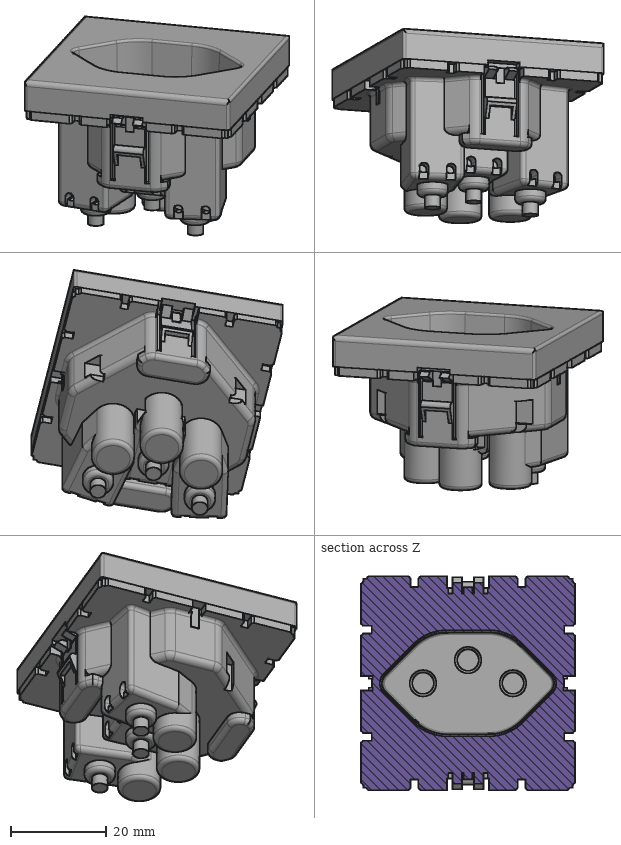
import cadquery as cq
import math


PLATE_SIZE = 45.05
PLATE_BOTTOM = -6.65
PLATE_EDGE_RADIUS = 1.13
PLATE_SIDE_RADIUS = 0.65

WELL_TIP = 19.33
WELL_HALF_HEIGHT = 10.9
WELL_SHOULDER_RADIUS = 9.75
WELL_TIP_RADIUS = 2.35
WELL_DEPTH = 12.3
WELL_DRAFT = 1.7
WELL_RIM_RADIUS = 0.55
WELL_FLOOR_RADIUS = 0.23
WELL_WALL = 0.55
WELL_FLOOR = 0.9
CUP_BOTTOM = -WELL_DEPTH - WELL_FLOOR

PIN_HOLE_RADIUS = 2.25
PIN_HOLE_CHAMFER = 0.55

FLANGE_BOTTOM = -8.55
NOTCH_CENTRE = 11.25
NOTCH_WIDTH = 1.58
NOTCH_DEPTH = 2.25
CORNER_NOTCH = 1.13
NOTCH_CHAMFER = 0.5

SKIRT_HALF = 20.1
SKIRT_CORNER = 5.7
SKIRT_CORNER_RADIUS = 2.9
SKIRT_BOTTOM = -20.8
SKIRT_BOTTOM_RADIUS = 1.55
NECK_RADIUS = 0.8
NECK_BOTTOM = FLANGE_BOTTOM - NECK_RADIUS
NOSE_HALF_WIDTH = 7.75
NOSE_LENGTH = 6.13
NOSE_BOTTOM = -23.15
NOSE_RADIUS = 1.1
SKIRT_STRAIGHT_END = SKIRT_CORNER + SKIRT_CORNER_RADIUS * math.tan(math.pi / 8) * math.cos(math.pi / 4)

CHANNEL_Y = (8.55, 10.15)
CHANNEL_Z = (-19.0, -13.88)
SIDE_NOTCH_Y = (9.6, 11.25)
SIDE_NOTCH_X = 13.5
SLOT_Y = (4.05, 7.05)
SLOT_Z = (-25.7, SKIRT_BOTTOM)

RIB_WIDTH = 1.8
RIB_DEPTH = 0.15
SIDE_RIB_BOTTOM = -11.85
SIDE_RIB_NOTCH = 2.97
LATCH_RIB_BOTTOM = -9.9

LATCH_GAP_HALF = 4.35
TONGUE_HALF = 3.3
SLIT_OUTER = 4.15
SLIT_BOTTOM = -21.1
LATCH_DEPTH = 1.15
TONGUE_TOP = -9.0
COVER_NOTCH_HALF = 3.55
COVER_NOTCH_TOP = -5.68
TOOTH_INNER = 1.25
TOOTH_REACH = 2.25
TOOTH_TOP_REACH = 1.13
TOOTH_TIP_Z = -7.55
HOOK_REACH = 1.3
HOOK_TOP = -13.1
HOOK_TIP_Z = -14.3
HOOK_BOTTOM = -17.6
HOOK_NOSE_RADIUS = 1.0
HOOK_POCKET_HALF = 2.52
HOOK_POCKET_TOP = -15.0

BARREL_RADIUS = 4.5
BARREL_BOTTOM = -34.37
BARREL_EDGE_RADIUS = 1.0
BORE_BOTTOM = -32.45
SIDE_SPACING = 9.45
CENTRE_Y = 4.85
SIDE_TILT = 10.0
SIDE_HALF_WIDTH = 5.8
CENTRE_HALF_WIDTH = 5.35
SIDE_BLOCK_BOTTOM = -30.27
CENTRE_BLOCK_BOTTOM = -27.3
BLOCK_FRONT = 15.1
BLOCK_FLANK_ANGLE = 20.0
SIDE_CORNER_RADIUS = 0.9
CENTRE_CORNER_RADIUS = 0.45
BLOCK_BOTTOM_RADIUS = 1.25
COLLAR_DISTANCE = 8.5
COLLAR_RADIUS = 3.25
COLLAR_HEIGHT = 2.4
COLLAR_EDGE_RADIUS = 1.05
SCREW_RADIUS = 1.65
SCREW_LENGTH_BELOW_BLOCK = 4.9
WIRE_SPACING = 5.8
WIRE_WIDTH = 1.95
WIRE_HEIGHT = 3.4
WIRE_STEP = 1.6
WIRE_DEPTH = 2.7
WIRE_STEP_DEPTH = 0.9

TOLERANCE = 0.05

UNITS = (
    (-SIDE_SPACING, 0.0, -SIDE_TILT, SIDE_HALF_WIDTH, SIDE_CORNER_RADIUS, SIDE_BLOCK_BOTTOM),
    (0.0, CENTRE_Y, 0.0, CENTRE_HALF_WIDTH, CENTRE_CORNER_RADIUS, CENTRE_BLOCK_BOTTOM),
    (SIDE_SPACING, 0.0, SIDE_TILT, SIDE_HALF_WIDTH, SIDE_CORNER_RADIUS, SIDE_BLOCK_BOTTOM),
)


def block_between(x_span, y_span, z_span):
    """A box given by its limits along each axis."""
    return (
        cq.Workplane("XY")
        .box(x_span[1] - x_span[0], y_span[1] - y_span[0], z_span[1] - z_span[0], centered=False)
        .translate((x_span[0], y_span[0], z_span[0]))
    )


def rod(x, y, radius, bottom, top):
    """An upright cylinder."""
    return cq.Workplane("XY", origin=(x, y, bottom)).circle(radius).extrude(top - bottom)


def well_shape(offset, depth):
    """The tapered hexagonal well, enlarged by an offset and running down from Z = 0."""
    tip = WELL_TIP + offset * math.sqrt(2)
    half_height = WELL_HALF_HEIGHT + offset
    shoulder = tip - half_height
    outline = [
        (tip, 0),
        (shoulder, half_height),
        (-shoulder, half_height),
        (-tip, 0),
        (-shoulder, -half_height),
        (shoulder, -half_height),
    ]
    well = cq.Workplane("XY").polyline(outline).close().extrude(-depth, taper=WELL_DRAFT)
    well = well.edges("not #Z").edges("not (<X or >X)").fillet(WELL_SHOULDER_RADIUS + offset)
    return well.edges("not #Z").edges("<X or >X").fillet(WELL_TIP_RADIUS + offset)


def both_latch_sides(shape):
    """A shape on the -Y side together with its copy turned to the +Y side."""
    return shape.union(shape.rotate((0, 0, 0), (0, 0, 1), 180))


def make_plate():
    half = PLATE_SIZE / 2
    blank = block_between((-half, half), (-half, half), (PLATE_BOTTOM, 0))
    plate = blank.edges("|Z").fillet(PLATE_SIDE_RADIUS)
    plate = plate.intersect(blank.edges(">Z and |X").fillet(PLATE_EDGE_RADIUS))
    return plate.intersect(blank.edges(">Z and |Y").fillet(PLATE_SIDE_RADIUS))


def make_cup():
    """The outside of the well where it stands below the plate."""
    half = PLATE_SIZE / 2
    return well_shape(WELL_WALL, -CUP_BOTTOM).intersect(
        block_between((-half, half), (-half, half), (CUP_BOTTOM, PLATE_BOTTOM))
    )


def make_cover():
    half = PLATE_SIZE / 2
    well = well_shape(0, WELL_DEPTH).faces("<Z").edges().fillet(WELL_FLOOR_RADIUS)
    cover = make_plate().union(make_cup()).cut(well)
    reach = WELL_TIP + TOLERANCE
    rim = cq.selectors.BoxSelector((-reach, -reach, -TOLERANCE), (reach, reach, TOLERANCE))
    cover = cover.edges(rim).fillet(WELL_RIM_RADIUS)

    for x, y, *_ in UNITS:
        countersink = cq.Solid.makeCone(
            PIN_HOLE_RADIUS,
            PIN_HOLE_RADIUS + PIN_HOLE_CHAMFER,
            PIN_HOLE_CHAMFER,
            pnt=cq.Vector(x, y, -WELL_DEPTH - PIN_HOLE_CHAMFER),
        )
        cover = cover.cut(rod(x, y, PIN_HOLE_RADIUS, CUP_BOTTOM, -WELL_DEPTH))
        cover = cover.cut(cq.Workplane(countersink))

    latch_notch = block_between(
        (-COVER_NOTCH_HALF, COVER_NOTCH_HALF), (-half, -SKIRT_HALF), (PLATE_BOTTOM, COVER_NOTCH_TOP)
    )
    return cover.cut(both_latch_sides(latch_notch))


def place(shape, x, y, tilt):
    return shape.rotate((0, 0, 0), (0, 0, 1), tilt).translate((x, y, 0))


def make_barrel():
    barrel = rod(0, 0, BARREL_RADIUS, BARREL_BOTTOM, FLANGE_BOTTOM)
    return barrel.faces("<Z").edges().fillet(BARREL_EDGE_RADIUS)


def make_terminal_block(half_width, corner_radius, bottom):
    flank = math.radians(BLOCK_FLANK_ANGLE)
    touch_x = BARREL_RADIUS * math.cos(flank)
    touch_y = BARREL_RADIUS * math.sin(flank)
    side_y = touch_y - (half_width - touch_x) / math.tan(flank)
    outline = [
        (touch_x, touch_y),
        (half_width, side_y),
        (half_width, -BLOCK_FRONT),
        (-half_width, -BLOCK_FRONT),
        (-half_width, side_y),
        (-touch_x, touch_y),
    ]
    block = (
        cq.Workplane("XY", origin=(0, 0, bottom)).polyline(outline).close().extrude(FLANGE_BOTTOM - bottom)
    )
    block = block.edges("|Z and <Y").fillet(corner_radius)
    block = block.faces("<Z").edges("not >Y").fillet(BLOCK_BOTTOM_RADIUS)
    collar = rod(0, -COLLAR_DISTANCE, COLLAR_RADIUS, bottom - COLLAR_HEIGHT, bottom)
    collar = collar.faces("<Z").edges().fillet(COLLAR_EDGE_RADIUS)
    return block.union(collar).cut(make_wire_entries(bottom))


def make_wire_entries(bottom):
    """Two arched entries at the foot of the block's front face, each with a shallow lower part."""
    arch_centre = bottom + WIRE_HEIGHT - WIRE_WIDTH / 2
    entries = cq.Workplane("XY")
    for x in (-WIRE_SPACING / 2, WIRE_SPACING / 2):
        span = (x - WIRE_WIDTH / 2, x + WIRE_WIDTH / 2)
        deep = (-BLOCK_FRONT, WIRE_DEPTH - BLOCK_FRONT)
        shallow = (-BLOCK_FRONT, WIRE_STEP_DEPTH - BLOCK_FRONT)
        mouth = cq.Workplane("XZ", origin=(x, -BLOCK_FRONT, arch_centre))
        arch = mouth.circle(WIRE_WIDTH / 2).extrude(-WIRE_DEPTH)
        entries = entries.add(arch)
        entries = entries.add(block_between(span, deep, (bottom + WIRE_STEP, arch_centre)))
        entries = entries.add(block_between(span, shallow, (bottom, bottom + WIRE_STEP)))
    return entries.combine()


def screw_at(x, y, tilt, block_bottom):
    """A screw stem seated in the collar up to the bottom of the block."""
    stem = rod(0, -COLLAR_DISTANCE, SCREW_RADIUS, block_bottom - SCREW_LENGTH_BELOW_BLOCK, block_bottom)
    return place(stem, x, y, tilt)


def make_skirt():
    """The octagonal skirt with a deeper nose on the -Y and +Y sides."""
    long, short = SKIRT_HALF, SKIRT_CORNER
    outline = [
        (long, short),
        (short, long),
        (-short, long),
        (-long, short),
        (-long, -short),
        (-short, -long),
        (short, -long),
        (long, -short),
    ]
    column = cq.Workplane("XY").polyline(outline).close().extrude(NOSE_BOTTOM)
    column = column.edges("|Z").fillet(SKIRT_CORNER_RADIUS)

    skirt = column.intersect(block_between((-long, long), (-long, long), (SKIRT_BOTTOM, FLANGE_BOTTOM)))
    skirt = skirt.faces("<Z").edges().fillet(SKIRT_BOTTOM_RADIUS)

    nose_y = (-long, NOSE_LENGTH - long)
    nose = block_between((-NOSE_HALF_WIDTH, NOSE_HALF_WIDTH), nose_y, (NOSE_BOTTOM, SKIRT_BOTTOM))
    nose = nose.edges("|Z and >Y").fillet(SKIRT_CORNER_RADIUS).intersect(column)
    nose = nose.faces("<Z").edges().fillet(NOSE_RADIUS)
    riser = block_between(
        (-SKIRT_STRAIGHT_END, SKIRT_STRAIGHT_END), nose_y, (SKIRT_BOTTOM, SKIRT_BOTTOM + SKIRT_BOTTOM_RADIUS)
    )
    nose = nose.union(riser.intersect(column))
    return skirt.union(both_latch_sides(nose))


def make_flange():
    """A square flange with chamfered notches in its edges and corners."""
    half = PLATE_SIZE / 2
    inner = half - NOTCH_CHAMFER
    left = NOTCH_CENTRE - NOTCH_WIDTH / 2
    right = NOTCH_CENTRE + NOTCH_WIDTH / 2
    edge_notch = [
        (left - NOTCH_CHAMFER, -half),
        (left, -inner),
        (left, NOTCH_DEPTH - half),
        (right, NOTCH_DEPTH - half),
        (right, -inner),
        (right + NOTCH_CHAMFER, -half),
    ]
    side = half - CORNER_NOTCH
    corner_notch = [
        (side - NOTCH_CHAMFER, -half),
        (side, -inner),
        (inner, -inner),
        (inner, -side),
        (half, NOTCH_CHAMFER - side),
        (half, -half),
    ]
    flange = block_between((-half, half), (-half, half), (FLANGE_BOTTOM, PLATE_BOTTOM))
    for outline in (edge_notch, corner_notch):
        notch = cq.Workplane("XY", origin=(0, 0, FLANGE_BOTTOM)).polyline(outline).close()
        notch = notch.extrude(PLATE_BOTTOM - FLANGE_BOTTOM)
        notch = notch.union(notch.mirror("YZ"))
        for turn in (0, 90, 180, 270):
            flange = flange.cut(notch.rotate((0, 0, 0), (0, 0, 1), turn))
    return flange


def add_side_ribs(housing):
    """A thin rib in a flange notch on the -X and +X sides."""
    half = PLATE_SIZE / 2
    outside = (-half, -SKIRT_HALF)
    rib_span = (-RIB_WIDTH / 2, RIB_WIDTH / 2)
    cut = block_between(outside, (-SIDE_RIB_NOTCH / 2, SIDE_RIB_NOTCH / 2), (FLANGE_BOTTOM, PLATE_BOTTOM))
    cut = cut.union(block_between(outside, rib_span, (NECK_BOTTOM, FLANGE_BOTTOM)))
    rib = block_between((-SKIRT_HALF - RIB_DEPTH, -SKIRT_HALF), rib_span, (SIDE_RIB_BOTTOM, PLATE_BOTTOM))
    for turn in (0, 180):
        housing = housing.cut(cut.rotate((0, 0, 0), (0, 0, 1), turn))
        housing = housing.union(rib.rotate((0, 0, 0), (0, 0, 1), turn))
    return housing


def cut_openings(housing):
    """The cross channel, the notches at its ends and the slot through the middle barrel."""
    half = PLATE_SIZE / 2
    housing = housing.cut(block_between((-half, half), CHANNEL_Y, CHANNEL_Z))
    for span in ((-half, -SIDE_NOTCH_X), (SIDE_NOTCH_X, half)):
        housing = housing.cut(block_between(span, SIDE_NOTCH_Y, (SKIRT_BOTTOM, CHANNEL_Z[1])))
    return housing.cut(block_between((-CENTRE_HALF_WIDTH, CENTRE_HALF_WIDTH), SLOT_Y, SLOT_Z))


def prism_along_x(outline, half_length):
    return cq.Workplane("YZ").polyline(outline).close().extrude(half_length, both=True)


def make_latch_cuts():
    half = PLATE_SIZE / 2
    face = -SKIRT_HALF
    floor = face + LATCH_DEPTH
    gap = block_between((-LATCH_GAP_HALF, LATCH_GAP_HALF), (-half, face), (NECK_BOTTOM, PLATE_BOTTOM))
    above_tongue = block_between((-SLIT_OUTER, SLIT_OUTER), (face, floor), (TONGUE_TOP, PLATE_BOTTOM))
    cuts = gap.union(above_tongue)
    for span in ((-SLIT_OUTER, -TONGUE_HALF), (TONGUE_HALF, SLIT_OUTER)):
        cuts = cuts.union(block_between(span, (face, floor), (SLIT_BOTTOM, PLATE_BOTTOM)))
    return cuts


def make_hook():
    """The snap hook on the tongue, hollowed underneath so that a rib is left at either end."""
    face = -SKIRT_HALF
    tip = face - HOOK_REACH
    outline = [(face, HOOK_TOP), (tip, HOOK_TOP), (tip, HOOK_TIP_Z), (face, HOOK_BOTTOM)]
    hook = prism_along_x(outline, TONGUE_HALF)
    hook = hook.edges(cq.selectors.NearestToPointSelector((0, tip, HOOK_TOP))).fillet(HOOK_NOSE_RADIUS)
    pocket = block_between(
        (-HOOK_POCKET_HALF, HOOK_POCKET_HALF), (tip, face), (HOOK_BOTTOM, HOOK_POCKET_TOP)
    )
    return hook.cut(pocket)


def make_latch_additions():
    """The hook, two teeth above the tongue and the rib between them."""
    face = -SKIRT_HALF
    floor = face + LATCH_DEPTH
    tooth_outline = [
        (floor, PLATE_BOTTOM),
        (face - TOOTH_TOP_REACH, PLATE_BOTTOM),
        (face - TOOTH_REACH, TOOTH_TIP_Z),
        (floor, TONGUE_TOP),
    ]
    teeth = prism_along_x(tooth_outline, TONGUE_HALF).cut(
        block_between((-TOOTH_INNER, TOOTH_INNER), (face - TOOTH_REACH, floor), (TONGUE_TOP, PLATE_BOTTOM))
    )
    rib = block_between(
        (-RIB_WIDTH / 2, RIB_WIDTH / 2), (face - RIB_DEPTH, floor), (LATCH_RIB_BOTTOM, PLATE_BOTTOM)
    )
    return make_hook().union(teeth).union(rib)


def make_housing():
    housing = make_skirt()
    for x, y, tilt, half_width, corner_radius, bottom in UNITS:
        housing = housing.union(place(make_terminal_block(half_width, corner_radius, bottom), x, y, tilt))
        housing = housing.union(place(make_barrel(), x, y, tilt))
    housing = housing.union(make_flange())
    neck_edges = cq.selectors.BoxSelector(
        (-SKIRT_HALF - TOLERANCE, -SKIRT_HALF - TOLERANCE, FLANGE_BOTTOM - TOLERANCE),
        (SKIRT_HALF + TOLERANCE, SKIRT_HALF + TOLERANCE, FLANGE_BOTTOM + TOLERANCE),
    )
    housing = housing.edges(neck_edges).fillet(NECK_RADIUS)
    housing = cut_openings(housing)
    housing = add_side_ribs(housing)
    housing = housing.cut(both_latch_sides(make_latch_cuts()))
    housing = housing.union(both_latch_sides(make_latch_additions()))
    housing = housing.cut(make_cup())
    for x, y, *_ in UNITS:
        housing = housing.cut(rod(x, y, PIN_HOLE_RADIUS, BORE_BOTTOM, CUP_BOTTOM))
    for screw in screws:
        housing = housing.cut(screw)
    return housing


screws = [screw_at(x, y, tilt, bottom) for x, y, tilt, *_, bottom in UNITS]
cover = make_cover()
housing = make_housing()

result = cq.Compound.makeCompound([cover.val(), housing.val(), *[screw.val() for screw in screws]])